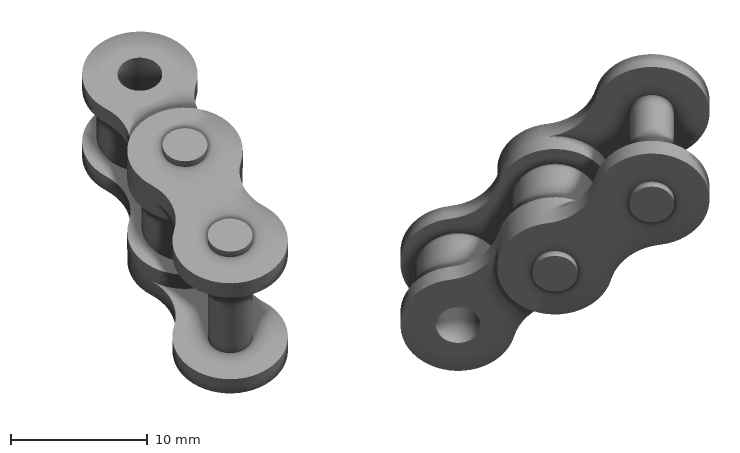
import cadquery as cq
import math

total_length = 27.5
total_height = 13.15
plate_width = 8.45
plate_thickness = 1.55
waist_radius = 4.32
pin_diameter = 3.27
pin_protrusion = 0.6
roller_diameter = 6.35
roller_height = 5.22
roller_rim_radius = 0.33
bushing_diameter = 5.75

end_radius = plate_width / 2
pitch = (total_length - plate_width) / 2
outer_plate_top = total_height / 2 - pin_protrusion
inner_plate_top = outer_plate_top - plate_thickness
inner_gap = 2 * (inner_plate_top - plate_thickness)

left_axis = -pitch
middle_axis = 0.0
right_axis = pitch


def cylinder(x, diameter, height):
    """Vertical cylinder centred on the mid-plane of the chain."""
    return cq.Workplane("XY", origin=(x, 0, -height / 2)).circle(diameter / 2).extrude(height)


def link_plate(start_x, bottom_z):
    """Two-lobed plate whose round ends blend into concave waist arcs."""
    arc_center_y = math.sqrt((end_radius + waist_radius) ** 2 - (pitch / 2) ** 2)
    waist_y = arc_center_y - waist_radius
    blend = end_radius / (end_radius + waist_radius)
    blend_x = blend * pitch / 2
    blend_y = blend * arc_center_y
    return (
        cq.Workplane("XY", origin=(start_x, 0, bottom_z))
        .moveTo(blend_x, blend_y)
        .threePointArc((pitch / 2, waist_y), (pitch - blend_x, blend_y))
        .threePointArc((pitch + end_radius, 0), (pitch - blend_x, -blend_y))
        .threePointArc((pitch / 2, -waist_y), (blend_x, -blend_y))
        .threePointArc((-end_radius, 0), (blend_x, blend_y))
        .close()
        .extrude(plate_thickness)
    )


def plate_pair(start_x, top_z):
    """Matching plates mirrored about the mid-plane."""
    upper = link_plate(start_x, top_z - plate_thickness)
    return upper.union(link_plate(start_x, -top_z))


def roller(x):
    """Roller with rounded rims, on a bushing that spans the inner plates."""
    body = cylinder(x, roller_diameter, roller_height)
    body = body.faces("|Z").edges().fillet(roller_rim_radius)
    return body.union(cylinder(x, bushing_diameter, inner_gap))


inner_link = plate_pair(left_axis, inner_plate_top)
for axis_x in (left_axis, middle_axis):
    inner_link = inner_link.union(roller(axis_x))
inner_link = inner_link.cut(cylinder(left_axis, pin_diameter, total_height))

outer_link = plate_pair(middle_axis, outer_plate_top)
for axis_x in (middle_axis, right_axis):
    outer_link = outer_link.union(cylinder(axis_x, pin_diameter, total_height))

result = inner_link.union(outer_link, clean=False)